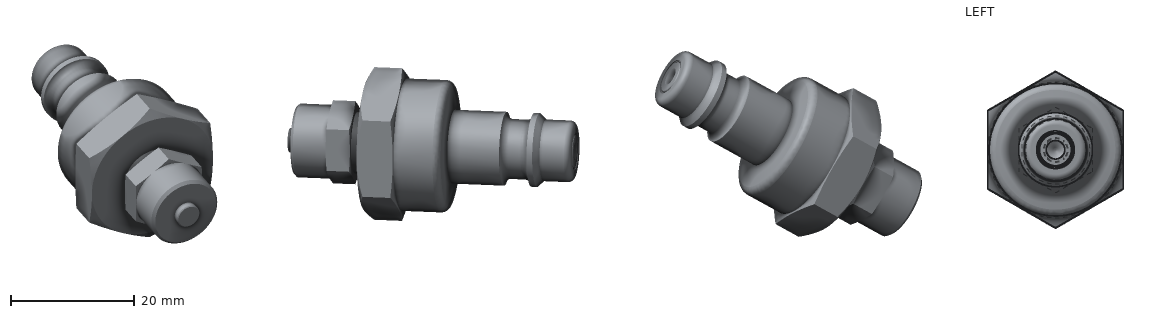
import cadquery as cq
import math

total_length = 47.0
ridge_start = 5.0
ridge_crest_start = 6.0
ridge_crest_end = 6.95
groove_end = 11.45
flange_start = 19.98
large_hex_start = 28.0
large_hex_end = 34.05
small_hex_start = 36.0
small_hex_end = 40.0
collar_end = 45.85

nose_diameter = 10.0
nose_fillet = 1.0
body_diameter = 12.0
groove_diameter = 9.75
flange_diameter = 21.5
flange_face_slope = 0.55
flange_fillet = 1.18

large_hex_flats = 22.0
large_hex_front_angle = 13.0
large_hex_back_angle = 30.0
small_hex_flats = 12.0
small_hex_angle = 10.0
collar_chamfer = 0.45
pin_diameter = 4.0
pin_chamfer = 0.15

seat_diameter = 6.1
seat_depth = 0.15
gap_outer_diameter = 5.6
valve_diameter = 5.45
valve_chamfer = 0.15
gap_depth = 0.95
dimple_diameter = 3.0
dimple_depth = 0.85


def cylinder(start, end, diameter):
    """Cylinder about the X axis between two stations."""
    return cq.Workplane("YZ", origin=(start, 0, 0)).circle(diameter / 2).extrude(end - start)


def hexagon(start, end, flats, front_diameter, front_angle, back_angle):
    """Hexagon with flats facing Y, its corners turned off by a cone at each end."""
    face_radius = flats / 2
    corner_radius = face_radius / math.cos(math.radians(30))
    front_run = (corner_radius - front_diameter / 2) * math.tan(math.radians(front_angle))
    back_run = (corner_radius - face_radius) * math.tan(math.radians(back_angle))
    prism = (
        cq.Workplane("YZ", origin=(start, 0, 0))
        .polygon(6, 2 * corner_radius)
        .extrude(end - start)
        .rotate((0, 0, 0), (1, 0, 0), 90)
    )
    turned_blank = (
        cq.Workplane("XY")
        .moveTo(start, 0)
        .lineTo(start, front_diameter / 2)
        .lineTo(start + front_run, corner_radius)
        .lineTo(end - back_run, corner_radius)
        .lineTo(end, face_radius)
        .lineTo(end, 0)
        .close()
        .revolve(360, (0, 0, 0), (1, 0, 0))
    )
    return prism.intersect(turned_blank)


def plug():
    """Nose, locking ridge, groove with rounded shoulders, and body."""
    nose_radius = nose_diameter / 2
    body_radius = body_diameter / 2
    groove_radius = groove_diameter / 2
    shoulder = body_radius - groove_radius
    arc_offset = shoulder * math.sqrt(0.5)
    front_arc_center = ridge_crest_end + shoulder
    back_arc_center = groove_end - shoulder
    profile = (
        cq.Workplane("XY")
        .lineTo(0, nose_radius)
        .lineTo(ridge_start, nose_radius)
        .lineTo(ridge_crest_start, body_radius)
        .lineTo(ridge_crest_end, body_radius)
        .threePointArc(
            (front_arc_center - arc_offset, body_radius - arc_offset),
            (front_arc_center, groove_radius),
        )
        .lineTo(back_arc_center, groove_radius)
        .threePointArc(
            (back_arc_center + arc_offset, body_radius - arc_offset),
            (groove_end, body_radius),
        )
        .lineTo(large_hex_start, body_radius)
        .lineTo(large_hex_start, 0)
        .close()
    )
    return profile.revolve(360, (0, 0, 0), (1, 0, 0)).faces("<X").edges().fillet(nose_fillet)


def flange():
    """Round flange with a slightly conical face and a rounded rim."""
    rim_radius = flange_diameter / 2
    rim_start = flange_start + flange_face_slope
    blank = (
        cq.Workplane("XY")
        .moveTo(flange_start, 0)
        .lineTo(flange_start, body_diameter / 2)
        .lineTo(rim_start, rim_radius)
        .lineTo(large_hex_start, rim_radius)
        .lineTo(large_hex_start, 0)
        .close()
        .revolve(360, (0, 0, 0), (1, 0, 0))
    )
    front_rim = cq.selectors.BoxSelector(
        (rim_start - 0.05, -rim_radius - 0.45, -rim_radius - 0.45),
        (rim_start + 0.05, rim_radius + 0.45, rim_radius + 0.45),
        boundingbox=True,
    )
    return blank.edges(front_rim).fillet(flange_fillet)


def tip_recess():
    """Shallow seat, narrow gap around the valve, and conical dimple."""
    seat = cylinder(0, seat_depth, seat_diameter).cut(cylinder(0, seat_depth, valve_diameter))
    gap = cylinder(0, gap_depth, gap_outer_diameter)
    valve = cylinder(0, gap_depth, valve_diameter).faces("<X").edges().chamfer(valve_chamfer)
    dimple = (
        cq.Workplane("XY")
        .lineTo(0, dimple_diameter / 2)
        .lineTo(dimple_depth, 0)
        .close()
        .revolve(360, (0, 0, 0), (1, 0, 0))
    )
    return seat.union(gap.cut(valve)).union(dimple)


large_hex = hexagon(
    large_hex_start,
    large_hex_end,
    large_hex_flats,
    flange_diameter,
    large_hex_front_angle,
    large_hex_back_angle,
)
small_hex = hexagon(
    small_hex_start,
    small_hex_end,
    small_hex_flats,
    small_hex_flats,
    small_hex_angle,
    small_hex_angle,
)
neck = cylinder(large_hex_end, small_hex_start, nose_diameter)
collar = cylinder(small_hex_end, collar_end, body_diameter).faces(">X").edges().chamfer(collar_chamfer)
pin = cylinder(collar_end, total_length, pin_diameter).faces(">X").edges().chamfer(pin_chamfer)

result = plug()
for section in (flange(), large_hex, neck, small_hex, collar, pin):
    result = result.union(section)
result = result.cut(tip_recess())